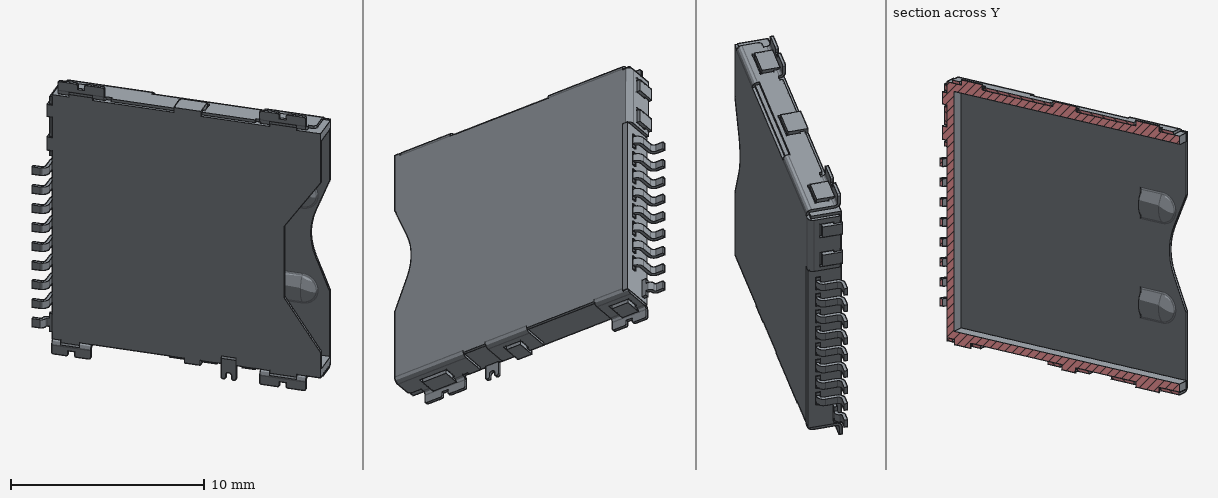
import cadquery as cq
import math


SHEET = 0.16
HALF_Z = 7.06
FLANGE_Z = HALF_Z + SHEET
HOUSING_X0, HOUSING_X1 = -6.78, 7.85
COVER_X0, COVER_X1 = -6.45, 7.8
FLANGE_X1 = 7.45
SIDE_X = HOUSING_X0 - SHEET
SIDE_Z0, SIDE_Z1 = 3.48, 6.89
TOTAL_DEPTH = 1.85
COVER_Y = TOTAL_DEPTH / 2
INNER_Y = COVER_Y - SHEET
PLATE_Y = -0.87
SOLDER_Y = -TOTAL_DEPTH / 2
BIG = 31.6

PLATE_THICKNESS = 0.16
WALL = 0.47
NOTCH_FLOOR_X = 5.86
NOTCH_MOUTH_Z = (-5.6, 4.22)
NOTCH_FLOOR_Z = (-2.72, 1.39)

TAB_TOP_Y = 0.2
WINDOW_TOP_Y, WINDOW_BOTTOM_Y = 0.32, -0.43
WINDOW_GAP = 0.1
TAB_RISE = 0.13
UPPER_TABS = [(-5.86, -4.57), (-0.15, 1.33), (5.07, 6.54)]
LOWER_TABS = [(-6.3, -5.3), (0.43, 1.3), (5.07, 6.54)]
SIDE_TABS = [(5.75, 6.45), (3.8, 4.57)]

LEAD = 0.19
LEAD_TIP_X = -7.85
TERMINAL_COUNT = 8
TERMINAL_ROW = 7.7
TERMINAL_PITCH = TERMINAL_ROW / (TERMINAL_COUNT - 1)
TERMINAL_TOP_Z = 2.53
TERMINAL_WIDTH = 0.43
TERMINAL_POST_X = -7.22
TERMINAL_TOP_Y = 0.5
TERMINAL_TOP_BEND = 0.4
TERMINAL_FOOT_BEND = 0.38
SHOULDER_WIDTH = 0.8
SHOULDER_HEIGHT = 0.25
SHOULDER_REACH = 0.05
SWITCH_Z = -6.27
SWITCH_WIDTH = 0.47
SWITCH_POST_X = -7.36
SWITCH_TOP_Y = -0.41
SWITCH_TOP_BEND = 0.24
SWITCH_FOOT_BEND = 0.27
SWITCH_SHOULDER_WIDTH = 1.05
SWITCH_SHOULDER_HEIGHT = 0.19
SWITCH_SHOULDER_REACH = 0.24

FOOT_TIP_Z = 7.9
FOOT_BEND = 0.17
FOOT_NOTCH_WIDTH = 0.38
FOOT_NOTCH_DEPTH = 0.3
FOOT_ROUND = 0.1
UPPER_FEET = [(COVER_X0, -3.93), (4.55, 7.05)]
LOWER_FEET = [(HOUSING_X0, -4.66), (4.55, 7.05)]
GROUND_LEG_X = (2.45, 3.25)
GROUND_LEG_TOP_Z = -6.62
GROUND_SLOT_WIDTH = 0.33
GROUND_SLOT_DEPTH = 0.4

BEND = 0.28
FLANGE_EDGE_Y = -0.7
SIDE_EDGE_Y = -0.77
RELIEF_EDGE_Y = -0.54
RELIEF_LENGTH = 0.32
END_EDGE_Y = -0.41
END_CHAMFER = 0.13
BEND_GAP_X = (-1.79, 4.33)
BEND_GAP_Y = 0.54
LOWER_FLANGES = [(HOUSING_X0, -4.66), (-0.45, 2.15), (3.52, COVER_X1)]
RECESS_CENTER_Z = 0.38
RECESS_HALF_HEIGHT = 3.2
RECESS_DEPTH = 1.31
RECESS_ROUND = 3.48
DIMPLE_RADIUS = 0.8
DIMPLE_DEPTH = 0.33
DIMPLE_LENGTH = 1.26
DIMPLE_BLEND = 0.13
DIMPLE_CENTERS = [(6.32, 2.6), (6.32, -2.88)]


def block(x0, x1, y0, y1, z0, z1):
    """A box given by its limits along the three axes."""
    return cq.Workplane("XY").box(x1 - x0, y1 - y0, z1 - z0, centered=False).translate((x0, y0, z0))


def below(shape):
    """The same shape on the -Z side."""
    return shape.mirror("XY")


def arc_middle(center, radius, degrees):
    """The point of a circle at the given angle."""
    angle = math.radians(degrees)
    return center[0] + radius * math.cos(angle), center[1] + radius * math.sin(angle)


def tray():
    """Plate with a thumb notch, two long walls and a rear wall, open toward +X."""
    body = block(HOUSING_X0, HOUSING_X1, PLATE_Y, INNER_Y, -HALF_Z, HALF_Z)
    body = body.union(block(HOUSING_X0, COVER_X0, PLATE_Y, COVER_Y, -HALF_Z, HALF_Z))
    body = body.cut(block(HOUSING_X0, COVER_X0, INNER_Y, COVER_Y, SIDE_Z0, HALF_Z))
    slot_y = PLATE_Y + PLATE_THICKNESS
    slot_z = HALF_Z - WALL
    body = body.cut(block(HOUSING_X0 + WALL, HOUSING_X1, slot_y, INNER_Y, -slot_z, slot_z))
    notch = (
        cq.Workplane("XZ", origin=(0, PLATE_Y + PLATE_THICKNESS, 0))
        .moveTo(HOUSING_X1, NOTCH_MOUTH_Z[0])
        .lineTo(NOTCH_FLOOR_X, NOTCH_FLOOR_Z[0])
        .lineTo(NOTCH_FLOOR_X, NOTCH_FLOOR_Z[1])
        .lineTo(HOUSING_X1, NOTCH_MOUTH_Z[1])
        .close()
        .extrude(PLATE_THICKNESS)
    )
    return body.cut(notch)


def long_tab(x_range):
    """Latch tab on the +Z side of the housing."""
    return block(*x_range, PLATE_Y, TAB_TOP_Y, HALF_Z, FLANGE_Z + TAB_RISE)


def side_tab(z_range):
    """Latch tab on the rear side of the housing."""
    return block(SIDE_X - TAB_RISE, HOUSING_X0, PLATE_Y, TAB_TOP_Y, *z_range)


def latch_tabs():
    """All latch tabs of the housing."""
    upper = [long_tab(span) for span in UPPER_TABS]
    lower = [below(long_tab(span)) for span in LOWER_TABS]
    return upper + lower + [side_tab(span) for span in SIDE_TABS]


def lead(center_z, width, post_x, top_y, top_radius, foot_radius):
    """S-shaped lead; both radii are those of the outer side of the bends."""
    top = (post_x + top_radius, top_y - top_radius)
    foot = (post_x + LEAD - foot_radius, SOLDER_Y + foot_radius)
    top_inner = top_radius - LEAD
    foot_inner = foot_radius - LEAD
    return (
        cq.Workplane("XY", origin=(0, 0, center_z - width / 2))
        .moveTo(LEAD_TIP_X, SOLDER_Y)
        .lineTo(foot[0], SOLDER_Y)
        .threePointArc(arc_middle(foot, foot_radius, -45), (foot[0] + foot_radius, foot[1]))
        .lineTo(post_x + LEAD, top[1])
        .threePointArc(arc_middle(top, top_inner, 135), (top[0], top[1] + top_inner))
        .lineTo(HOUSING_X0, top_y - LEAD)
        .lineTo(HOUSING_X0, top_y)
        .lineTo(top[0], top_y)
        .threePointArc(arc_middle(top, top_radius, 135), (post_x, top[1]))
        .lineTo(post_x, foot[1])
        .threePointArc(arc_middle(foot, foot_inner, -45), (foot[0], SOLDER_Y + LEAD))
        .lineTo(LEAD_TIP_X, SOLDER_Y + LEAD)
        .close()
        .extrude(width)
    )


def shoulder(center_z, width, top_y, height, reach):
    """Wide root of a lead where it leaves the rear wall."""
    return block(
        HOUSING_X0 - reach, HOUSING_X0, top_y - height, top_y, center_z - width / 2, center_z + width / 2
    )


def terminal(center_z):
    """One of the equal signal terminals."""
    root = shoulder(center_z, SHOULDER_WIDTH, TERMINAL_TOP_Y, SHOULDER_HEIGHT, SHOULDER_REACH)
    pin = lead(
        center_z, TERMINAL_WIDTH, TERMINAL_POST_X, TERMINAL_TOP_Y, TERMINAL_TOP_BEND, TERMINAL_FOOT_BEND
    )
    return root.union(pin)


def switch_terminal():
    """The low terminal at the -Z end of the row."""
    root = shoulder(
        SWITCH_Z, SWITCH_SHOULDER_WIDTH, SWITCH_TOP_Y, SWITCH_SHOULDER_HEIGHT, SWITCH_SHOULDER_REACH
    )
    pin = lead(SWITCH_Z, SWITCH_WIDTH, SWITCH_POST_X, SWITCH_TOP_Y, SWITCH_TOP_BEND, SWITCH_FOOT_BEND)
    return root.union(pin)


def ground_leg():
    """Forked leg lying on the plate and reaching past its -Z edge."""
    x0, x1 = GROUND_LEG_X
    leg = block(x0, x1, SOLDER_Y, SOLDER_Y + SHEET, -FOOT_TIP_Z, GROUND_LEG_TOP_Z)
    ramp = PLATE_Y - SOLDER_Y
    leg = leg.edges("|X and >Z and <Y").chamfer(2 * ramp, ramp)
    slot = (
        cq.Workplane("XZ")
        .center((x0 + x1) / 2, -FOOT_TIP_Z)
        .slot2D(2 * GROUND_SLOT_DEPTH, GROUND_SLOT_WIDTH, 90)
        .extrude(BIG / 2, both=True)
    )
    return leg.cut(slot).edges("|Y and <Z").fillet(FOOT_ROUND)


def make_housing():
    body = tray()
    for tab in latch_tabs():
        body = body.union(tab)
    for index in range(TERMINAL_COUNT):
        body = body.union(terminal(TERMINAL_TOP_Z - index * TERMINAL_PITCH))
    return body.union(switch_terminal()).union(ground_leg())


def dimple_base(center_x, center_z):
    """Selector of the edges where a dimple leaves the inner face of the cover."""
    half_height = DIMPLE_RADIUS + DIMPLE_BLEND
    return cq.selectors.BoxSelector(
        (center_x - DIMPLE_LENGTH - DIMPLE_BLEND, INNER_Y - DIMPLE_BLEND / 2, center_z - half_height),
        (center_x + DIMPLE_RADIUS, INNER_Y + DIMPLE_BLEND / 2, center_z + half_height),
    )


def panel():
    """Flat main face of the cover with a rounded V recess in its +X edge and two dimples."""
    sheet = block(COVER_X0, COVER_X1, INNER_Y, COVER_Y, -HALF_Z, HALF_Z)
    slope = RECESS_HALF_HEIGHT / RECESS_DEPTH
    overshoot = 0.16
    mouth = RECESS_HALF_HEIGHT + overshoot * slope
    recess = (
        cq.Workplane("XZ", origin=(0, COVER_Y, 0))
        .moveTo(COVER_X1 + overshoot, RECESS_CENTER_Z - mouth)
        .lineTo(COVER_X1 - RECESS_DEPTH, RECESS_CENTER_Z)
        .lineTo(COVER_X1 + overshoot, RECESS_CENTER_Z + mouth)
        .close()
        .extrude(SHEET)
        .edges("|Y and <X")
        .fillet(RECESS_ROUND)
    )
    sheet = sheet.cut(recess)
    for center_x, center_z in DIMPLE_CENTERS:
        sheet = sheet.union(dimple(center_x, center_z))
        sheet = sheet.edges(dimple_base(center_x, center_z)).fillet(DIMPLE_BLEND)
    return sheet


def bend_waste(plane, corner, toward_first, toward_second):
    """Profile of the material outside a rounded bend, around its sharp corner."""
    u, v = corner
    center = (u + toward_first * BEND, v + toward_second * BEND)
    middle = arc_middle(center, BEND, math.degrees(math.atan2(-toward_second, -toward_first)))
    return (
        cq.Workplane(plane)
        .moveTo(u, v)
        .lineTo(center[0], v)
        .threePointArc(middle, (u, center[1]))
        .close()
    )


def long_bend_waste(x0, x1):
    """Waste of the bend along the +Z edge of the cover."""
    profile = bend_waste("YZ", (COVER_Y, FLANGE_Z), -1, -1)
    return profile.extrude(x1 - x0).translate((x0, 0, 0))


def side_bend_waste():
    """Waste of the bend along the rear edge of the cover."""
    profile = bend_waste("XY", (SIDE_X, COVER_Y), 1, -1)
    return profile.extrude(SIDE_Z1 - SIDE_Z0).translate((0, 0, SIDE_Z0))


def foot(x0, x1):
    """Solder foot bent outward from the +Z flange, notched at its tip."""
    outer_radius = FOOT_BEND + SHEET
    center = (SOLDER_Y + outer_radius, HALF_Z + outer_radius)
    inner_y = SOLDER_Y + SHEET
    strip = (
        cq.Workplane("YZ", origin=(x0, 0, 0))
        .moveTo(center[0], HALF_Z)
        .threePointArc(arc_middle(center, outer_radius, -135), (SOLDER_Y, center[1]))
        .lineTo(SOLDER_Y, FOOT_TIP_Z)
        .lineTo(inner_y, FOOT_TIP_Z)
        .lineTo(inner_y, center[1])
        .threePointArc(arc_middle(center, FOOT_BEND, -135), (center[0], FLANGE_Z))
        .close()
        .extrude(x1 - x0)
    )
    middle_x = (x0 + x1) / 2
    half_notch = FOOT_NOTCH_WIDTH / 2
    notch = block(
        middle_x - half_notch, middle_x + half_notch, SOLDER_Y, inner_y,
        FOOT_TIP_Z - FOOT_NOTCH_DEPTH, FOOT_TIP_Z,
    )
    strip = strip.cut(notch).edges("|Y and >Z").fillet(FOOT_ROUND)
    flange_edge = block(x0, x1, center[0], RELIEF_EDGE_Y, HALF_Z, FLANGE_Z)
    return strip.union(flange_edge)


def flange(x0, x1, feet):
    """Long flange on the +Z side with its feet and the reliefs beside them."""
    sheet = block(x0, x1, FLANGE_EDGE_Y, COVER_Y, HALF_Z, FLANGE_Z)
    for foot_x0, foot_x1 in feet:
        relief_x0 = foot_x0 - RELIEF_LENGTH
        relief_x1 = foot_x1 + RELIEF_LENGTH
        sheet = sheet.cut(block(relief_x0, relief_x1, FLANGE_EDGE_Y, RELIEF_EDGE_Y, HALF_Z, FLANGE_Z))
        sheet = sheet.union(foot(foot_x0, foot_x1))
    return sheet


def raised_end(foot_x1, x1):
    """Material cut from the +Z flange between its last foot and its +X end."""
    waste = block(foot_x1, x1, FLANGE_EDGE_Y, END_EDGE_Y, HALF_Z, FLANGE_Z)
    corner = (
        cq.Workplane("XY", origin=(x1, END_EDGE_Y, HALF_Z))
        .polyline([(0, 0), (-END_CHAMFER, 0), (0, END_CHAMFER)])
        .close()
        .extrude(SHEET)
    )
    return waste.union(corner)


def long_window(x_range):
    """Window of the +Z flange around a latch tab."""
    x0, x1 = x_range
    return block(x0 - WINDOW_GAP, x1 + WINDOW_GAP, WINDOW_BOTTOM_Y, WINDOW_TOP_Y, HALF_Z, FLANGE_Z)


def side_window(z_range):
    """Window of the rear flange around a latch tab."""
    z0, z1 = z_range
    return block(SIDE_X, HOUSING_X0, WINDOW_BOTTOM_Y, WINDOW_TOP_Y, z0 - WINDOW_GAP, z1 + WINDOW_GAP)


def windows():
    """All windows of the cover flanges."""
    upper = [long_window(span) for span in UPPER_TABS]
    lower = [below(long_window(span)) for span in LOWER_TABS]
    return upper + lower + [side_window(span) for span in SIDE_TABS]


def dimple(center_x, center_z):
    """Ridge with a spherical end, pressed toward the card from the inner face of the cover."""
    sphere_radius = (DIMPLE_RADIUS ** 2 + DIMPLE_DEPTH ** 2) / (2 * DIMPLE_DEPTH)
    axis_y = INNER_Y - DIMPLE_DEPTH + sphere_radius
    tip = cq.Workplane("XY").sphere(sphere_radius).translate((center_x, axis_y, center_z))
    ridge = (
        cq.Workplane("YZ", origin=(center_x - DIMPLE_LENGTH, axis_y, center_z))
        .circle(sphere_radius)
        .extrude(DIMPLE_LENGTH)
    )
    kept_tip = block(center_x, BIG, INNER_Y - DIMPLE_DEPTH, INNER_Y, -BIG, BIG)
    kept_ridge = block(-BIG, center_x, INNER_Y - DIMPLE_DEPTH, INNER_Y, -BIG, BIG)
    return ridge.intersect(kept_ridge).union(tip.intersect(kept_tip))


def make_cover(housing):
    body = panel()
    body = body.union(flange(COVER_X0, FLANGE_X1, UPPER_FEET))
    body = body.cut(raised_end(UPPER_FEET[-1][1], FLANGE_X1))
    for x0, x1 in LOWER_FLANGES:
        feet = [span for span in LOWER_FEET if x0 <= span[0] and span[1] <= x1]
        body = body.union(below(flange(x0, x1, feet)))
        body = body.cut(below(long_bend_waste(x0, x1)))
    body = body.cut(below(raised_end(LOWER_FEET[-1][1], COVER_X1)))
    gap_x0, gap_x1 = BEND_GAP_X
    body = body.cut(long_bend_waste(COVER_X0, gap_x0))
    body = body.cut(long_bend_waste(gap_x1, FLANGE_X1))
    body = body.cut(block(gap_x0, gap_x1, BEND_GAP_Y, COVER_Y, FLANGE_Z - BEND, FLANGE_Z))
    body = body.union(block(SIDE_X, COVER_X0, SIDE_EDGE_Y, COVER_Y, SIDE_Z0, SIDE_Z1))
    body = body.cut(side_bend_waste())
    for window in windows():
        body = body.cut(window)
    return body.cut(housing)


housing = make_housing()
cover = make_cover(housing)
result = cq.Compound.makeCompound([housing.val(), cover.val()])